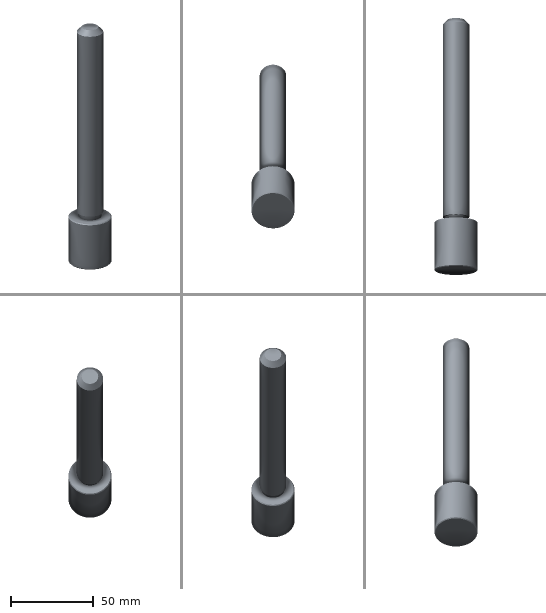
import cadquery as cq

total_length = 155.0
head_diameter = 26.0
head_length = 30.0
shank_diameter = 16.0

neck_diameter = 13.75
neck_length = 3.0

head_chamfer = 0.5
tip_chamfer = 3.0
tip_diameter = shank_diameter - 2 * tip_chamfer


def make_head():
    """Cylindrical head resting on Z = 0, chamfered on both rims."""
    head = cq.Workplane("XY").circle(head_diameter / 2).extrude(head_length)
    return head.faces("<Z or >Z").chamfer(head_chamfer)


def make_neck():
    """Narrow relief joining the head to the shank."""
    neck = cq.Workplane("XY").workplane(offset=head_length)
    return neck.circle(neck_diameter / 2).extrude(neck_length)


def make_shank():
    """Long shank that tapers to a flat tip at its upper end."""
    shank_start = head_length + neck_length
    profile = (
        cq.Workplane("XZ")
        .moveTo(0, shank_start)
        .lineTo(shank_diameter / 2, shank_start)
        .lineTo(shank_diameter / 2, total_length - tip_chamfer)
        .lineTo(tip_diameter / 2, total_length)
        .lineTo(0, total_length)
        .close()
    )
    return profile.revolve(360, (0, 0, 0), (0, 1, 0))


result = make_head().union(make_neck()).union(make_shank())